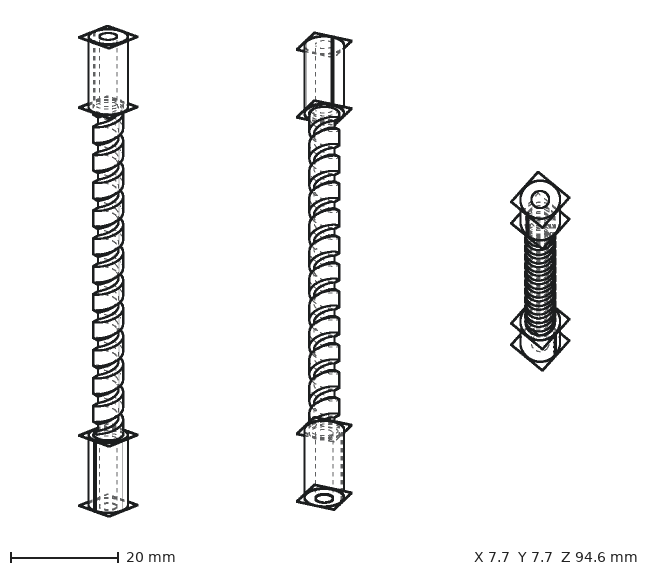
import cadquery as cq

SCREW_LENGTH = 94.6
SCREW_DIAMETER = 5.6
ROOT_DIAMETER = 3.9
JOURNAL_DIAMETER = 3.3
JOURNAL_PROUD = 0.2
GROOVE_TURNS = 11.7
GROOVE_MOUTH = 2.5
GROOVE_FLOOR = 1.3
GROOVE_ANGLE = 135.0
CUTTER_OVERSHOOT = 0.2

SLEEVE_LENGTH = 14.4
SLEEVE_DIAMETER = 7.4
SEAT_DEPTH = 0.9
SEAM_WIDTH = 0.3
SEAM_DEPTH = 0.2

PLATE_SIDE = 7.7
PLATE_THICKNESS = 0.1
PLATE_INSET = 0.1

GROOVE_BOTTOM = JOURNAL_PROUD + SLEEVE_LENGTH
GROOVE_TOP = SCREW_LENGTH - SLEEVE_LENGTH
GROOVE_LENGTH = GROOVE_TOP - GROOVE_BOTTOM
PITCH = GROOVE_LENGTH / GROOVE_TURNS


def cylinder(diameter, bottom, length):
    return cq.Workplane("XY").workplane(offset=bottom).circle(diameter / 2).extrude(length)


def make_groove_cutter():
    """Right-hand helical cutter with a trapezoid section, one pitch too long at each end."""
    root_radius = ROOT_DIAMETER / 2
    outer_radius = SCREW_DIAMETER / 2 + CUTTER_OVERSHOOT
    flank_slope = (GROOVE_MOUTH - GROOVE_FLOOR) / (SCREW_DIAMETER - ROOT_DIAMETER)
    floor_half = GROOVE_FLOOR / 2
    outer_half = floor_half + flank_slope * (outer_radius - root_radius)
    path = cq.Wire.makeHelix(PITCH, GROOVE_LENGTH + 2 * PITCH, root_radius)
    section = cq.Workplane("XZ").polyline([
        (root_radius, -floor_half),
        (outer_radius, -outer_half),
        (outer_radius, outer_half),
        (root_radius, floor_half),
    ]).close()
    return (
        section.sweep(cq.Workplane(obj=path), isFrenet=True)
        .rotate((0, 0, 0), (0, 0, 1), GROOVE_ANGLE)
        .translate((0, 0, GROOVE_BOTTOM - PITCH))
    )


def make_screw():
    """Thread with a plain seat at each end, and a thin journal beyond each seat."""
    blank = cylinder(SCREW_DIAMETER, 0, SCREW_LENGTH)
    thread_span = cylinder(2 * SCREW_DIAMETER, GROOVE_BOTTOM, GROOVE_LENGTH)
    screw = blank.cut(make_groove_cutter()).intersect(thread_span)
    for seat_bottom in (GROOVE_BOTTOM - SEAT_DEPTH, GROOVE_TOP):
        screw = screw.union(cylinder(SCREW_DIAMETER, seat_bottom, SEAT_DEPTH))
    lower_journal = cylinder(JOURNAL_DIAMETER, 0, GROOVE_BOTTOM)
    upper_journal = cylinder(JOURNAL_DIAMETER, GROOVE_TOP, SLEEVE_LENGTH)
    screw = screw.union(lower_journal).union(upper_journal)
    return screw


def make_sleeve():
    """Sleeve standing on Z = 0: seam along its -Y side, journal bore, and a screw seat in its top."""
    seam = (
        cq.Workplane("XY")
        .center(0, -SLEEVE_DIAMETER / 2)
        .rect(SEAM_WIDTH, 2 * SEAM_DEPTH)
        .extrude(SLEEVE_LENGTH)
    )
    sleeve = cylinder(SLEEVE_DIAMETER, 0, SLEEVE_LENGTH).cut(seam)
    for plate_bottom in (PLATE_INSET, SLEEVE_LENGTH - PLATE_INSET - PLATE_THICKNESS):
        plate = cq.Workplane("XY").workplane(offset=plate_bottom).rect(PLATE_SIDE, PLATE_SIDE)
        sleeve = sleeve.union(plate.extrude(PLATE_THICKNESS))
    bore = cylinder(JOURNAL_DIAMETER, 0, SLEEVE_LENGTH)
    seat = cylinder(SCREW_DIAMETER, SLEEVE_LENGTH - SEAT_DEPTH, SEAT_DEPTH)
    return sleeve.cut(bore).cut(seat)


screw = make_screw()

sleeves = []
for turn, height in ((0, JOURNAL_PROUD), (180, SCREW_LENGTH)):
    sleeve = make_sleeve().rotate((0, 0, 0), (1, 1, 0), turn).translate((0, 0, height))
    sleeves.append(sleeve.val())

result = cq.Compound.makeCompound([screw.val(), *sleeves])